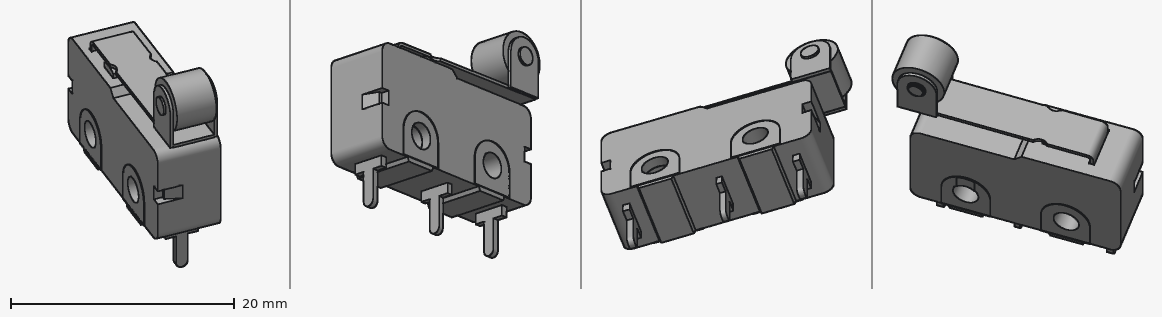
import cadquery as cq
import math


overall_length = 22.05
body_length = 19.88
body_depth = 6.15
body_height = 10.21
corner_radius = 1.01
step_start = 9.35
step_drop = 0.68
front_y = -body_depth / 2

hole_z = 2.5
hole_diameter = 2.4
relief_diameter = 2.5
relief_depth = 0.88
hole_1_x = 5.1
hole_pitch = 9.5
hole_2_x = hole_1_x + hole_pitch
pad_radius = 2.32
pad_bottom_z = 0.07
pad_thickness = 0.09
pad_back_shift = 0.09
rib_width = 1.7
rib_thickness = 0.07

foot_height = 0.4
foot_top_width = 3.45
foot_bottom_width = 3.07

notch_bottom_z = 4.21
notch_height = 1.41
notch_reach = 0.85
notch_ramp_reach = 0.53
notch_lip_y = -2.23
notch_end_y = -0.66

terminal_shoulder_width = 3.18
terminal_shoulder_length = 1.01
terminal_blade_width = 1.15
terminal_length = 4.48
outer_terminal_thickness = 0.62
middle_terminal_thickness = 0.53
terminals = [
    (1.85, outer_terminal_thickness),
    (10.63, middle_terminal_thickness),
    (17.93, outer_terminal_thickness),
]

plunger_left = 6.09
plunger_width = 2.0
plunger_side_top = 10.7
plunger_top = 10.95

sheet = 0.3
lever_y = -0.25
lever_width = 4.0
lever_left = 3.02
bend_radius = 0.6
lever_top_left_z = 11.27
lever_top_right_z = 11.43
leg_depth = 0.45
slot_clearance = 0.1
slot_end_clearance = 0.07
waist_x = 8.05
waist_length = 1.28
waist_depth = 0.3
plunger_front_y = lever_y - lever_width / 2
plunger_back_y = 1.1

roller_diameter = 4.92
roller_width = 3.84
roller_x = overall_length - roller_diameter / 2
roller_z = 14.63
cheek_width = 3.66
cheek_bottom_z = 11.16
pin_diameter = 1.7
pin_front_length = 2.51
pin_back_length = 2.45
pin_tip_diameter = 1.4
pin_tip_length = 0.15
lever_right = roller_x + cheek_width / 2


def extrude_y(profile, y_start, y_end):
    """Extrude a closed XZ sketch from y_start to y_end."""
    return profile.extrude(y_start - y_end).translate((0, y_start, 0))


def cylinder_y(x, z, diameter, y_start, y_end):
    return extrude_y(cq.Workplane("XZ").center(x, z).circle(diameter / 2), y_start, y_end)


def box_between(x_range, y_range, z_range):
    size = [high - low for low, high in (x_range, y_range, z_range)]
    return cq.Workplane("XY").box(*size, centered=False).translate((x_range[0], y_range[0], z_range[0]))


def arched_plate(x, z, half_width, bottom_z, y_start, y_end):
    """Plate with a straight foot and a half-round top centred on (x, z)."""
    profile = (
        cq.Workplane("XZ")
        .moveTo(x - half_width, bottom_z)
        .lineTo(x - half_width, z)
        .threePointArc((x, z + half_width), (x + half_width, z))
        .lineTo(x + half_width, bottom_z)
        .close()
    )
    return extrude_y(profile, y_start, y_end)


def make_housing():
    step_z = body_height - step_drop
    profile = cq.Workplane("XZ").polyline([
        (0, 0),
        (body_length, 0),
        (body_length, step_z),
        (step_start + step_drop, step_z),
        (step_start, body_height),
        (0, body_height),
    ]).close()
    housing = extrude_y(profile, front_y, -front_y)
    return housing.edges("|Y and (<X or >X)").fillet(corner_radius)


def make_foot(x):
    profile = cq.Workplane("XZ").polyline([
        (x - foot_top_width / 2, 0),
        (x + foot_top_width / 2, 0),
        (x + foot_bottom_width / 2, -foot_height),
        (x - foot_bottom_width / 2, -foot_height),
    ]).close()
    return extrude_y(profile, front_y, -front_y)


def make_pads():
    pads = make_rear_rib()
    for x, back_shift in ((hole_1_x, pad_back_shift), (hole_2_x, 0)):
        front = arched_plate(x, hole_z, pad_radius, pad_bottom_z, front_y - pad_thickness, front_y)
        back = arched_plate(x + back_shift, hole_z, pad_radius, pad_bottom_z,
                            -front_y, -front_y + pad_thickness)
        pads = pads.union(front).union(back)
    return pads


def make_rear_rib():
    """Shallow arc above the right hole that follows the round end of the rear pad."""
    y_range = (-front_y, -front_y + pad_thickness + rib_thickness)
    disc = cylinder_y(hole_2_x, hole_z, 2 * pad_radius, *y_range)
    window = box_between(
        (hole_2_x - rib_width / 2, hole_2_x + rib_width / 2),
        y_range,
        (hole_z, hole_z + pad_radius),
    )
    return disc.intersect(window)


def make_mounting_holes():
    y_limit = body_depth
    holes = cylinder_y(hole_1_x, hole_z, hole_diameter, -y_limit, y_limit)
    holes = holes.union(cylinder_y(hole_2_x, hole_z, hole_diameter, -y_limit, y_limit))
    relief = cylinder_y(hole_1_x, hole_z, relief_diameter, -y_limit, front_y + relief_depth)
    return holes.union(relief)


def make_latch_notches():
    left = (
        cq.Workplane("XY", origin=(0, 0, notch_bottom_z))
        .polyline([
            (0, front_y),
            (notch_reach, front_y),
            (notch_reach, notch_lip_y),
            (notch_ramp_reach, notch_lip_y),
            (0, notch_end_y),
        ])
        .close()
        .extrude(notch_height)
    )
    right = left.mirror("YZ").translate((body_length, 0, 0))
    return left.union(right)


def make_leg_slot():
    """Pocket in the top face around the bent-down lever leg."""
    half_width = lever_width / 2 + slot_end_clearance
    return box_between(
        (lever_left - slot_clearance, lever_left + sheet + slot_clearance),
        (lever_y - half_width, lever_y + half_width),
        (body_height - leg_depth, body_height),
    )


def make_terminal(x, thickness):
    """Flat blade with a wide shoulder at the housing and a full-round tip."""
    half_shoulder = terminal_shoulder_width / 2
    half_blade = terminal_blade_width / 2
    tip_center_z = half_blade - terminal_length
    return (
        cq.Workplane("YZ", origin=(x - thickness / 2, 0, 0))
        .moveTo(-half_shoulder, 0)
        .lineTo(-half_shoulder, -terminal_shoulder_length)
        .lineTo(-half_blade, -terminal_shoulder_length)
        .lineTo(-half_blade, tip_center_z)
        .threePointArc((0, -terminal_length), (half_blade, tip_center_z))
        .lineTo(half_blade, -terminal_shoulder_length)
        .lineTo(half_shoulder, -terminal_shoulder_length)
        .lineTo(half_shoulder, 0)
        .close()
        .extrude(thickness)
    )


def make_plunger():
    """Button with a gently domed top."""
    right = plunger_left + plunger_width
    profile = (
        cq.Workplane("XZ")
        .moveTo(plunger_left, body_height)
        .lineTo(plunger_left, plunger_side_top)
        .threePointArc((plunger_left + plunger_width / 2, plunger_top), (right, plunger_side_top))
        .lineTo(right, body_height)
        .close()
    )
    return extrude_y(profile, plunger_front_y, plunger_back_y)


def make_lever():
    inner_radius = bend_radius - sheet
    bend_x = lever_left + bend_radius
    bend_z = lever_top_left_z - bend_radius
    leg_bottom = body_height - leg_depth
    diagonal = math.sqrt(0.5)
    profile = (
        cq.Workplane("XZ")
        .moveTo(lever_left, leg_bottom)
        .lineTo(lever_left, bend_z)
        .threePointArc((bend_x - bend_radius * diagonal, bend_z + bend_radius * diagonal),
                       (bend_x, bend_z + bend_radius))
        .lineTo(lever_right, lever_top_right_z)
        .lineTo(lever_right, lever_top_right_z - sheet)
        .lineTo(bend_x, bend_z + inner_radius)
        .threePointArc((bend_x - inner_radius * diagonal, bend_z + inner_radius * diagonal),
                       (bend_x - inner_radius, bend_z))
        .lineTo(bend_x - inner_radius, leg_bottom)
        .close()
    )
    half_width = lever_width / 2
    lever = extrude_y(profile, lever_y - half_width, lever_y + half_width)
    for side in (-1, 1):
        lever = lever.cut(make_waist_notch(lever_y + side * half_width, side))
    return lever


def make_waist_notch(edge_y, side):
    """Round-bottomed notch that narrows the lever at one long edge."""
    return (
        cq.Workplane("XY", origin=(0, 0, plunger_side_top))
        .moveTo(waist_x - waist_length / 2, edge_y)
        .threePointArc((waist_x, edge_y - side * waist_depth), (waist_x + waist_length / 2, edge_y))
        .close()
        .extrude(lever_top_right_z - plunger_side_top)
    )


def make_roller_assembly():
    half_lever = lever_width / 2
    assembly = cylinder_y(roller_x, roller_z, roller_diameter,
                          lever_y - roller_width / 2, lever_y + roller_width / 2)
    for inner, outer in ((-half_lever, -half_lever - sheet), (half_lever, half_lever + sheet)):
        cheek = arched_plate(roller_x, roller_z, cheek_width / 2, cheek_bottom_z,
                             lever_y + min(inner, outer), lever_y + max(inner, outer))
        assembly = assembly.union(cheek)
    pin_back_y = lever_y + pin_back_length
    pin = cylinder_y(roller_x, roller_z, pin_diameter, lever_y - pin_front_length, pin_back_y)
    tip = cylinder_y(roller_x, roller_z, pin_tip_diameter, pin_back_y, pin_back_y + pin_tip_length)
    return assembly.union(pin).union(tip)


result = make_housing().union(make_pads())
for foot_x in (hole_1_x, hole_2_x):
    result = result.union(make_foot(foot_x))
result = result.cut(make_mounting_holes()).cut(make_latch_notches()).cut(make_leg_slot())
for terminal_x, terminal_thickness in terminals:
    result = result.union(make_terminal(terminal_x, terminal_thickness))
result = result.union(make_plunger()).union(make_lever()).union(make_roller_assembly())